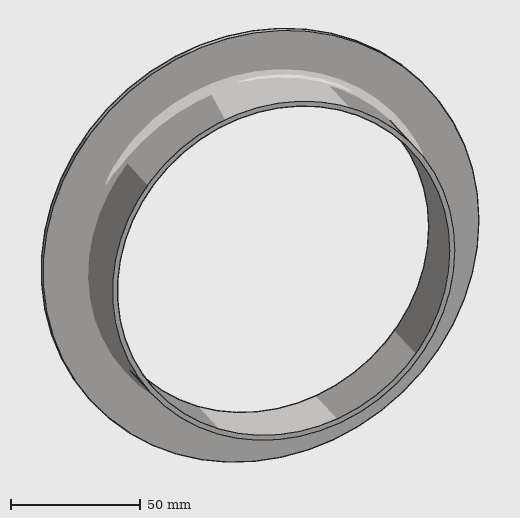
import cadquery as cq
import math

flange_diameter = 178.0
flange_thickness = 2.5
collar_outer_diameter = 139.7
collar_inner_diameter = 135.6
overall_length = 30.0
root_fillet_radius = 3.0
mouth_radius = 5.0

flange_radius = flange_diameter / 2
outer_radius = collar_outer_diameter / 2
inner_radius = collar_inner_diameter / 2
root_start_radius = outer_radius + root_fillet_radius
root_end_x = flange_thickness + root_fillet_radius
mouth_start_radius = inner_radius + mouth_radius


def arc_middle(center, radius):
    """Middle point of the quarter arc that faces the flange face and the axis."""
    offset = radius * math.cos(math.radians(45))
    return (center[0] - offset, center[1] - offset)


def half_section():
    """Section of the flanged collar: x runs along the axis, y is the distance from it."""
    root_middle = arc_middle((root_end_x, root_start_radius), root_fillet_radius)
    mouth_middle = arc_middle((mouth_radius, mouth_start_radius), mouth_radius)
    return (
        cq.Workplane("XY")
        .moveTo(0, flange_radius)
        .lineTo(flange_thickness, flange_radius)
        .lineTo(flange_thickness, root_start_radius)
        .threePointArc(root_middle, (root_end_x, outer_radius))
        .lineTo(overall_length, outer_radius)
        .lineTo(overall_length, inner_radius)
        .lineTo(mouth_radius, inner_radius)
        .threePointArc(mouth_middle, (0, mouth_start_radius))
        .close()
    )


result = half_section().revolve(360, (0, 0, 0), (1, 0, 0))